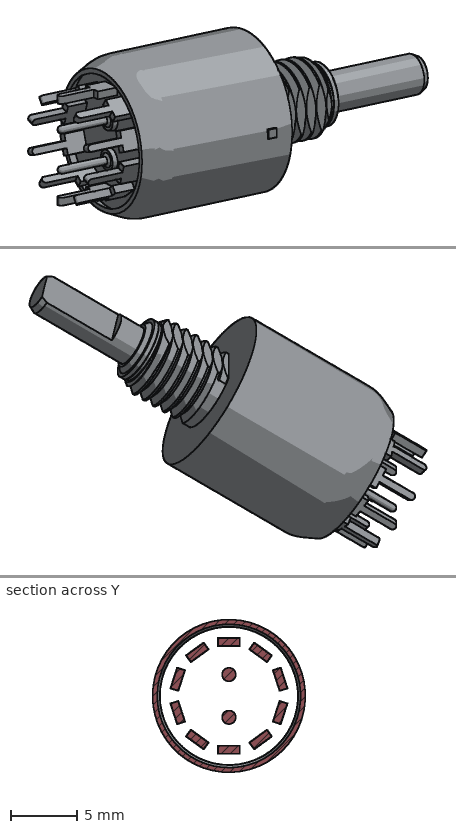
import cadquery as cq
import math


housing_radius = 6.35
housing_length = 13.0
crimp_length = 2.35
crimp_cone_length = 0.92
crimp_cone_radius = 6.0
rim_outer_radius = 5.59
rim_inner_radius = 5.2
recess_depth = 0.85
seam_distance = 1.47
tab_height = 0.13
tab_length = 0.74
tab_width = 0.74

thread_radius = 25.4 / 8
thread_pitch = 25.4 / 28
thread_crest = 0.17
thread_half_angle = 30
thread_end = 6.0
thread_chamfer = 0.6
groove_last_y = 0.41
groove_last_angle = 135
groove_overcut = 0.04
bushing_flat = 2.59
neck_radius = 2.42
neck_length = 0.27
collar_radius = 2.5
collar_length = 0.4
nose_base_radius = 2.2
nose_tip_radius = 1.83
nose_length = 0.37

shaft_radius = 25.4 / 16
shaft_tip_y = 15.46
shaft_tip_bevel_length = 0.5
shaft_tip_bevel_depth = 0.25
shaft_flat_distance = 0.75
shaft_flat_length = 6.4
shaft_turn = 18

terminal_end_y = -16.92
blade_count = 10
blade_circle_radius = 4.06
blade_thickness = 0.63
blade_root_width = 1.65
blade_root_height = 0.88
blade_tip_width = 0.57
center_pin_offset = 1.61
center_pin_radius = 0.31
bead_base_radius = 0.9
bead_top_radius = 0.82
bead_height = 0.4
meniscus_radius = 0.58
meniscus_height = 0.15

rim_y = -housing_length
floor_y = rim_y + recess_depth
cone_slope = (crimp_cone_radius - rim_outer_radius) / crimp_cone_length
floor_radius = rim_inner_radius + recess_depth * cone_slope


def turned(profile):
    """Turn a closed (radius, y) profile about the Y axis."""
    return profile.close().revolve(360, (0, 0, 0), (0, 1, 0))


def along_y(y, z=0.0):
    """Work plane at height y whose extrusions run towards +Y."""
    return cq.Workplane("XZ", origin=(0, y, z)).workplane(invert=True)


def make_can():
    crimp_start_y = rim_y + crimp_length
    can = turned(
        cq.Workplane("XY")
        .moveTo(0, 0)
        .lineTo(housing_radius, 0)
        .lineTo(housing_radius, crimp_start_y)
        .tangentArcPoint((crimp_cone_radius, rim_y + crimp_cone_length), relative=False)
        .lineTo(rim_outer_radius, rim_y)
        .lineTo(rim_inner_radius, rim_y)
        .lineTo(floor_radius, floor_y)
        .lineTo(0, floor_y)
    )
    tab_reach = housing_radius + tab_height
    tab = cq.Workplane("XY").box(
        tab_reach / 2, tab_length, tab_width, centered=False
    ).translate((tab_reach / 2, -seam_distance - tab_length, 0))
    return can.union(tab)


def thread_groove():
    """Helical V groove that starts on the +X side near the housing and runs out past the free end."""
    depth = (thread_pitch - thread_crest) / 2 / math.tan(math.radians(thread_half_angle))
    root_radius = thread_radius - depth
    outer_radius = thread_radius + groove_overcut
    half_width = (outer_radius - root_radius) * math.tan(math.radians(thread_half_angle))
    path = cq.Wire.makeHelix(thread_pitch, thread_end + thread_pitch - groove_last_y, thread_radius)
    groove = (
        cq.Workplane("XZ")
        .polyline([(root_radius, 0), (outer_radius, half_width), (outer_radius, -half_width)])
        .close()
        .sweep(cq.Workplane(obj=path), isFrenet=True)
    )
    return groove.rotate((0, 0, 0), (1, 0, 0), -90).translate((0, groove_last_y, 0))


def make_bushing():
    collar_start_y = thread_end + neck_length
    collar_end_y = collar_start_y + collar_length
    nose_end_y = collar_end_y + nose_length
    rod = turned(
        cq.Workplane("XY")
        .lineTo(thread_radius, 0)
        .lineTo(thread_radius, thread_end)
        .lineTo(0, thread_end)
    )
    threaded = rod.cut(thread_groove()).rotate((0, 0, 0), (0, 1, 0), groove_last_angle)
    flats = along_y(0).rect(2 * bushing_flat, 2 * thread_radius).extrude(thread_end)
    chamfered = rod.faces(">Y").chamfer(thread_chamfer)
    nose = turned(
        cq.Workplane("XY")
        .moveTo(0, thread_end)
        .lineTo(neck_radius, thread_end)
        .lineTo(neck_radius, collar_start_y)
        .lineTo(collar_radius, collar_start_y)
        .lineTo(collar_radius, collar_end_y)
        .lineTo(nose_base_radius, collar_end_y)
        .lineTo(nose_tip_radius, nose_end_y)
        .lineTo(0, nose_end_y)
    )
    bore = along_y(0).circle(shaft_radius).extrude(nose_end_y)
    return threaded.intersect(flats).intersect(chamfered).union(nose), bore


def make_blade():
    """Flat terminal above the axis: a wide root and a narrow, rounded tip."""
    root_end_y = rim_y - blade_root_height
    root = along_y(root_end_y, blade_circle_radius).rect(
        blade_root_width, blade_thickness
    ).extrude(floor_y - root_end_y)
    half_width = blade_tip_width / 2
    tip = (
        cq.Workplane("XY", origin=(0, 0, blade_circle_radius))
        .moveTo(-half_width, root_end_y)
        .lineTo(-half_width, terminal_end_y + half_width)
        .threePointArc((0, terminal_end_y), (half_width, terminal_end_y + half_width))
        .lineTo(half_width, root_end_y)
        .close()
        .extrude(blade_thickness / 2, both=True)
    )
    return root.union(tip)


def make_center_pin():
    """Round terminal standing on a sealing bead."""
    bead_top_y = floor_y - bead_height
    return turned(
        cq.Workplane("XY")
        .moveTo(0, floor_y)
        .lineTo(bead_base_radius, floor_y)
        .lineTo(bead_top_radius, bead_top_y)
        .lineTo(meniscus_radius, bead_top_y)
        .lineTo(center_pin_radius, bead_top_y - meniscus_height)
        .lineTo(center_pin_radius, terminal_end_y + center_pin_radius)
        .tangentArcPoint((0, terminal_end_y), relative=False)
    )


def make_housing():
    bushing, bore = make_bushing()
    housing = make_can().union(bushing).cut(bore)
    for index in range(blade_count):
        angle = index * 360 / blade_count
        housing = housing.union(make_blade().rotate((0, 0, 0), (0, 1, 0), angle))
    for side in (1, -1):
        housing = housing.union(make_center_pin().translate((0, 0, side * center_pin_offset)))
    return housing


def make_shaft():
    shaft = turned(
        cq.Workplane("XY")
        .lineTo(shaft_radius, 0)
        .lineTo(shaft_radius, shaft_tip_y - shaft_tip_bevel_length)
        .lineTo(shaft_radius - shaft_tip_bevel_depth, shaft_tip_y)
        .lineTo(0, shaft_tip_y)
    )
    cut_width = shaft_radius - shaft_flat_distance
    flat = along_y(shaft_tip_y - shaft_flat_length).center(
        -shaft_flat_distance - cut_width / 2, 0
    ).rect(cut_width, 2 * shaft_radius).extrude(shaft_flat_length)
    return shaft.cut(flat).rotate((0, 0, 0), (0, 1, 0), -shaft_turn)


housing = make_housing()
shaft = make_shaft()
result = cq.Compound.makeCompound([housing.val(), shaft.val()])